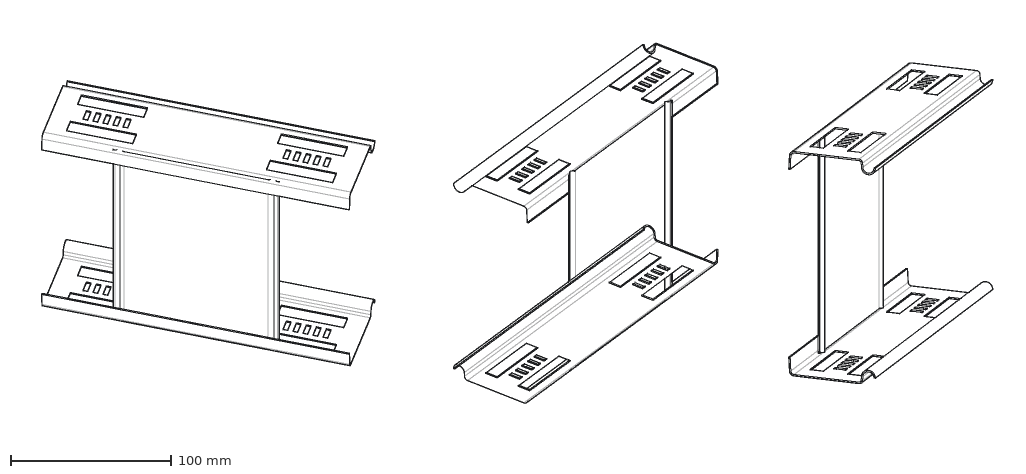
import cadquery as cq
import math

LENGTH = 200.0
DEPTH = 58.24
HEIGHT = 147.0

RAIL_SHEET = 1.0
LIP_HEIGHT = 12.0
LEAN = 3.0
FRONT_BEND = 3.2
REAR_BEND = 2.4
HOOK_INNER = 3.7
HOOK_OUTER = HOOK_INNER + RAIL_SHEET
HOOK_CENTRE_DROP = 4.8

GROUP_X = 65.0
GROUP_Y = 26.1
LONG_SLOT = (43.0, 9.0)
LONG_SLOT_OFFSET = 12.6
SHORT_SLOT = (3.0, 8.0)
SHORT_SLOT_COUNT = 5
SHORT_SLOT_PITCH = 6.5

PANEL_SHEET = 1.0
PANEL_FRONT_Y = 1.6
PANEL_END_INSET = 1.2
PANEL_HEIGHT = HEIGHT - 2 * PANEL_END_INSET
PANEL_HALF_WIDTH = 54.0
BEAD_OUTER_X = 52.75
BEAD_CREST_X = 50.0
BEAD_INNER_X = 46.8
BEAD_DEPTH = 1.8


def polar(centre, radius, degrees):
    """Point in the YZ plane at an angle measured from +Y towards +Z."""
    angle = math.radians(degrees)
    return (centre[0] + radius * math.cos(angle), centre[1] + radius * math.sin(angle))


def rail_profile():
    """Closed YZ section of the upper rail: outer face first, then back along the inner face."""
    top = HEIGHT / 2
    lean_sin = math.sin(math.radians(LEAN))
    lean_cos = math.cos(math.radians(LEAN))

    lip_length = (LIP_HEIGHT - FRONT_BEND + FRONT_BEND * lean_sin) / lean_cos
    front = (lip_length * lean_sin + FRONT_BEND * lean_cos, top - FRONT_BEND)
    lip_edge = (0, top - LIP_HEIGHT)

    hook = (DEPTH - HOOK_OUTER, top - HOOK_CENTRE_DROP)
    wall_drop = HOOK_CENTRE_DROP - REAR_BEND
    rear_y = hook[0] - (REAR_BEND + HOOK_INNER + wall_drop * lean_sin) / lean_cos
    rear = (rear_y, top - REAR_BEND)

    front_inner = FRONT_BEND - RAIL_SHEET
    rear_inner = REAR_BEND - RAIL_SHEET
    front_end = 180 - LEAN
    front_middle = (90 + front_end) / 2
    rear_middle = (90 + LEAN) / 2
    hook_start = 180 + LEAN
    hook_end = 360
    hook_middle = (hook_start + hook_end) / 2
    return (
        cq.Workplane("YZ", origin=(-LENGTH / 2, 0, 0))
        .moveTo(*lip_edge)
        .lineTo(*polar(front, FRONT_BEND, front_end))
        .threePointArc(polar(front, FRONT_BEND, front_middle), polar(front, FRONT_BEND, 90))
        .lineTo(*polar(rear, REAR_BEND, 90))
        .threePointArc(polar(rear, REAR_BEND, rear_middle), polar(rear, REAR_BEND, LEAN))
        .lineTo(*polar(hook, HOOK_INNER, hook_start))
        .threePointArc(polar(hook, HOOK_INNER, hook_middle), polar(hook, HOOK_INNER, hook_end))
        .lineTo(*polar(hook, HOOK_OUTER, hook_end))
        .threePointArc(polar(hook, HOOK_OUTER, hook_middle), polar(hook, HOOK_OUTER, hook_start))
        .lineTo(*polar(rear, rear_inner, LEAN))
        .threePointArc(polar(rear, rear_inner, rear_middle), polar(rear, rear_inner, 90))
        .lineTo(*polar(front, front_inner, 90))
        .threePointArc(polar(front, front_inner, front_middle), polar(front, front_inner, front_end))
        .lineTo(*polar(lip_edge, RAIL_SHEET, -LEAN))
        .close()
    )


def plate_openings():
    """Cutters for the long and short slots at both ends of the upper rail."""
    group_centres = [(-GROUP_X, GROUP_Y), (GROUP_X, GROUP_Y)]
    plane = cq.Workplane("XY", origin=(0, 0, HEIGHT / 2 - RAIL_SHEET))
    long_places = []
    short_places = []
    for x, y in group_centres:
        for side in (-1, 1):
            long_places.append((x, y + side * LONG_SLOT_OFFSET))
        for index in range(SHORT_SLOT_COUNT):
            step = index - (SHORT_SLOT_COUNT - 1) / 2
            short_places.append((x + step * SHORT_SLOT_PITCH, y))
    long_slots = plane.pushPoints(long_places).rect(*LONG_SLOT).extrude(RAIL_SHEET)
    short_slots = plane.pushPoints(short_places).rect(*SHORT_SLOT).extrude(RAIL_SHEET)
    return long_slots.union(short_slots)


def add_bead(outline, start_x, crest_x, end_x, base_y):
    """Continue an outline along one face of a bead: a smooth rise to the crest and back."""
    direction = math.copysign(1, end_x - start_x)
    flat = [(direction, 0), (direction, 0)]
    return (
        outline.lineTo(start_x, base_y)
        .spline([(crest_x, base_y + BEAD_DEPTH)], tangents=flat, includeCurrent=True)
        .spline([(end_x, base_y)], tangents=flat, includeCurrent=True)
    )


def make_panel():
    """Flat sheet between the rails; its beads are pressed away from the front face."""
    front = PANEL_FRONT_Y
    back = front + PANEL_SHEET
    outline = cq.Workplane("XY", origin=(0, 0, -PANEL_HEIGHT / 2)).moveTo(-PANEL_HALF_WIDTH, front)
    outline = add_bead(outline, -BEAD_OUTER_X, -BEAD_CREST_X, -BEAD_INNER_X, front)
    outline = add_bead(outline, BEAD_INNER_X, BEAD_CREST_X, BEAD_OUTER_X, front)
    outline = outline.lineTo(PANEL_HALF_WIDTH, front).lineTo(PANEL_HALF_WIDTH, back)
    outline = add_bead(outline, BEAD_OUTER_X, BEAD_CREST_X, BEAD_INNER_X, back)
    outline = add_bead(outline, -BEAD_INNER_X, -BEAD_CREST_X, -BEAD_OUTER_X, back)
    return outline.lineTo(-PANEL_HALF_WIDTH, back).close().extrude(PANEL_HEIGHT)


def make_upper_rail(panel):
    """Upper rail, with the inside of its front bend relieved for the panel's end."""
    return rail_profile().extrude(LENGTH).cut(plate_openings()).cut(panel)


panel = make_panel()
upper_rail = make_upper_rail(panel)
lower_rail = upper_rail.mirror("XY")

result = cq.Compound.makeCompound([panel.val(), upper_rail.val(), lower_rail.val()])